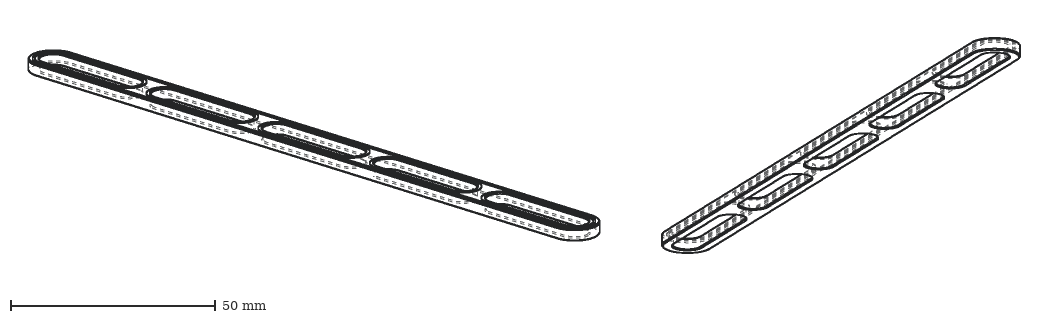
import cadquery as cq

grid = 12.5
length = 15 * grid
width = grid
thickness = grid / 4

slot_count = 5
slot_pitch = 3 * grid
slot_spacing = 2 * grid
slot_width = 7.0

edge_chamfer = 0.3

rim_width = 1.1
lip_width = 1.1
recess_depth = 0.2


def rounded_bar(bar_length, bar_width, height):
    """Full-round-ended bar standing on Z = 0."""
    return cq.Workplane("XY").slot2D(bar_length, bar_width).extrude(height)


def slot_row(slot_size, height):
    """One full-round-ended bar at every slot position."""
    first = -(slot_count - 1) / 2 * slot_pitch
    centers = [(first + index * slot_pitch, 0) for index in range(slot_count)]
    return (
        cq.Workplane("XY")
        .pushPoints(centers)
        .slot2D(slot_spacing + slot_size, slot_size)
        .extrude(height)
    )


def make_slotted_plate():
    """Plate with its through slots, every edge of both faces chamfered."""
    plate = rounded_bar(length, width, thickness)
    plate = plate.cut(slot_row(slot_width, thickness))
    return plate.faces("<Z or >Z").chamfer(edge_chamfer)


def make_recess():
    """Volume removed from the top face, leaving the rim and the slot lips."""
    inside_rim = rounded_bar(length - 2 * rim_width, width - 2 * rim_width, recess_depth)
    lips = slot_row(slot_width + 2 * lip_width, recess_depth)
    return inside_rim.cut(lips).translate((0, 0, thickness - recess_depth))


result = make_slotted_plate().cut(make_recess())